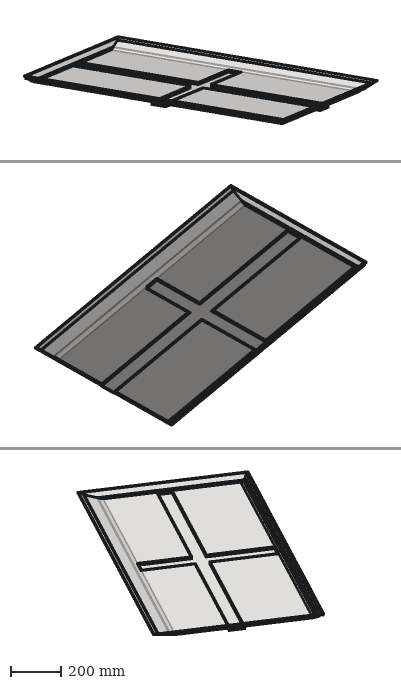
import cadquery as cq

LENGTH = 1222.0
WIDTH = 699.0
HEIGHT = 42.0
SHEET = 3.0

CROSS_FLOOR = SHEET
FLOOR = CROSS_FLOOR + 11.0
LEDGE = FLOOR + 6.0
RIM_STEP = HEIGHT - 1.8
BACK_BEND = RIM_STEP - 4.3
BACK_RISER = 1.8
FRONT_BEND = LEDGE + 5.5

SIDE_RIM = 3.0
SIDE_STRIP = 6.7
SIDE_LEDGE = 23.0
SIDE_LEDGE_END = 27.0
SIDE_FLOOR = 30.0

FRONT_RIM = 7.0
FRONT_STRIP = 11.0
FRONT_WALL = 17.0
FRONT_LEDGE = 23.0
FRONT_LEDGE_END = 28.0
FRONT_FLOOR = 38.0

BACK_RIM = 3.0
BACK_STRIP = 7.0
BACK_BEND_INSET = 23.0
BACK_LEDGE = 73.0
BACK_LEDGE_END = 77.0
BACK_FLOOR = 98.0

CROSS_WIDTH = 59.0
CROSS_END_INSET = 1.0

LIP_DROP = 11.0
LIP_END_GAP = 7.0
LIP_SETBACK = 0.6


def block(x_range, y_range, z_range):
    """Box spanning three (low, high) ranges."""
    size = [high - low for low, high in (x_range, y_range, z_range)]
    origin = (x_range[0], y_range[0], z_range[0])
    return cq.Workplane("XY", origin=origin).box(*size, centered=False)


def basin(offset):
    """Basin of the tray up to the rim, grown outward by an offset.

    A lengthwise and a crosswise prism intersect, so adjoining sides meet in mitres.
    """
    half_length = LENGTH / 2
    half_width = WIDTH / 2
    right_side = [
        (half_length - SIDE_FLOOR, FLOOR),
        (half_length - SIDE_LEDGE_END, LEDGE),
        (half_length - SIDE_LEDGE, LEDGE),
        (half_length - SIDE_STRIP, RIM_STEP),
    ]
    left_side = [(-x, z) for x, z in reversed(right_side)]
    back_side = [
        (half_width - BACK_FLOOR, FLOOR),
        (half_width - BACK_LEDGE_END, LEDGE),
        (half_width - BACK_LEDGE, LEDGE),
        (half_width - BACK_BEND_INSET, BACK_BEND - BACK_RISER),
        (half_width - BACK_BEND_INSET, BACK_BEND),
        (half_width - BACK_STRIP, RIM_STEP),
    ]
    front_side = [
        (-half_width + FRONT_STRIP, RIM_STEP),
        (-half_width + FRONT_WALL, FRONT_BEND),
        (-half_width + FRONT_LEDGE, LEDGE),
        (-half_width + FRONT_LEDGE_END, LEDGE),
        (-half_width + FRONT_FLOOR, FLOOR),
    ]

    def prism(plane, outline, span):
        profile = cq.Workplane(plane).polyline(outline).close()
        if offset > 0:
            profile = profile.offset2D(offset, "intersection")
        return profile.extrude(span / 2, both=True)

    lengthwise = prism("YZ", front_side + back_side, LENGTH)
    crosswise = prism("XZ", left_side + right_side, WIDTH)
    below_rim = block((-half_length, half_length), (-half_width, half_width), (0, RIM_STEP))
    return lengthwise.intersect(crosswise).intersect(below_rim)


def cross(offset):
    """Two crossing channel arms ending just inside the floor edges, grown outward by an offset."""
    half_arm = CROSS_WIDTH / 2 + offset
    end_growth = offset - CROSS_END_INSET
    x_end = LENGTH / 2 - SIDE_FLOOR + end_growth
    y_front = -WIDTH / 2 + FRONT_FLOOR - end_growth
    y_back = WIDTH / 2 - BACK_FLOOR + end_growth
    z_range = (CROSS_FLOOR - offset, FLOOR)
    long_arm = block((-x_end, x_end), (-half_arm, half_arm), z_range)
    short_arm = block((-half_arm, half_arm), (y_front, y_back), z_range)
    return long_arm.union(short_arm)


def rim():
    """Flat flange around the tray with a shallow step down to the basin edge."""
    x_edge = LENGTH / 2
    y_edge = WIDTH / 2
    flange = block((-x_edge, x_edge), (-y_edge, y_edge), (HEIGHT - SHEET, HEIGHT))
    step = block(
        (-x_edge + SIDE_RIM, x_edge - SIDE_RIM),
        (-y_edge + FRONT_RIM, y_edge - BACK_RIM),
        (RIM_STEP, HEIGHT),
    )
    return flange.cut(step)


def front_lip():
    """Thin lip hanging from the flange, set slightly back from its front edge."""
    x_end = LENGTH / 2 - LIP_END_GAP
    y_front = -WIDTH / 2 + LIP_SETBACK
    return block((-x_end, x_end), (y_front, y_front + SHEET), (HEIGHT - LIP_DROP, HEIGHT - SHEET))


outside = rim().union(front_lip()).union(basin(SHEET)).union(cross(SHEET))
result = outside.cut(basin(0)).cut(cross(0))